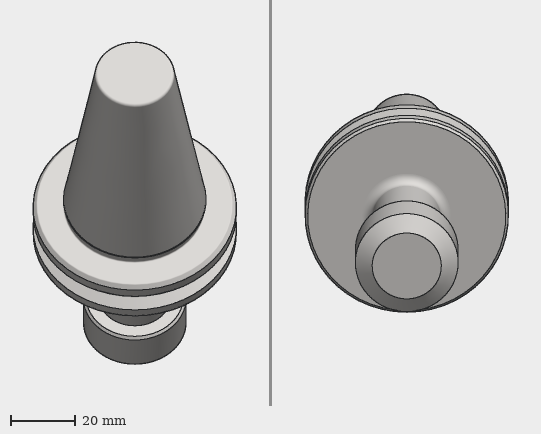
import cadquery as cq

nut_radius = 16.0
nut_face_radius = 10.8
nut_cone_height = 3.5
nut_top = 17.5
nut_edge = 0.8

collar_radius = 11.2
collar_top = 30.7
shank_radius = 10.8
root_fillet = 3.0

flange_diameter = 63.5
flange_radius = flange_diameter / 2
flange_bottom = 51.2
flange_top = 67.3
flange_bottom_edge = 0.8
flange_top_edge = 1.2
groove_radius = 28.1
groove_center = 59.0
groove_floor_width = 3.6
groove_mouth_width = 7.3

neck_radius = 22.0
gauge_radius = 22.3
gauge_height = 70.0
total_height = 138.4
taper_ratio = 7 / 24
tip_fillet = 1.0

neck_fillet = 0.4
groove_fillet = 0.4
rim_fillet = 0.5

margin = 0.01

tip_radius = gauge_radius - (total_height - gauge_height) * taper_ratio / 2


def round_circle(body, height, radius, fillet):
    """Round the circular edge of the given radius at the given height."""
    low = (-radius - margin, -radius - margin, height - margin)
    high = (radius + margin, radius + margin, height + margin)
    ring = cq.selectors.BoxSelector(low, high, boundingbox=True)
    return body.edges(ring).edges(cq.selectors.RadiusNthSelector(-1)).fillet(fillet)


profile = (
    cq.Workplane("XZ")
    .lineTo(nut_face_radius, 0)
    .lineTo(nut_radius, nut_cone_height)
    .lineTo(nut_radius, nut_top - nut_edge)
    .lineTo(nut_radius - nut_edge, nut_top)
    .lineTo(collar_radius, nut_top)
    .lineTo(collar_radius, collar_top)
    .lineTo(shank_radius, collar_top)
    .lineTo(shank_radius, flange_bottom - root_fillet)
    .radiusArc((shank_radius + root_fillet, flange_bottom), root_fillet)
    .lineTo(flange_radius - flange_bottom_edge, flange_bottom)
    .lineTo(flange_radius, flange_bottom + flange_bottom_edge)
    .lineTo(flange_radius, groove_center - groove_mouth_width / 2)
    .lineTo(groove_radius, groove_center - groove_floor_width / 2)
    .lineTo(groove_radius, groove_center + groove_floor_width / 2)
    .lineTo(flange_radius, groove_center + groove_mouth_width / 2)
    .lineTo(flange_radius, flange_top - flange_top_edge)
    .lineTo(flange_radius - flange_top_edge, flange_top)
    .lineTo(neck_radius, flange_top)
    .lineTo(neck_radius, gauge_height)
    .lineTo(gauge_radius, gauge_height)
    .lineTo(tip_radius, total_height)
    .lineTo(0, total_height)
    .close()
)

result = profile.revolve(360, (0, 0, 0), (0, 1, 0))

result = round_circle(result, total_height, tip_radius, tip_fillet)
result = round_circle(result, flange_top, flange_radius - flange_top_edge, rim_fillet)
result = round_circle(result, flange_top, neck_radius, neck_fillet)
for side in (-1, 1):
    floor_edge = groove_center + side * groove_floor_width / 2
    result = round_circle(result, floor_edge, groove_radius, groove_fillet)